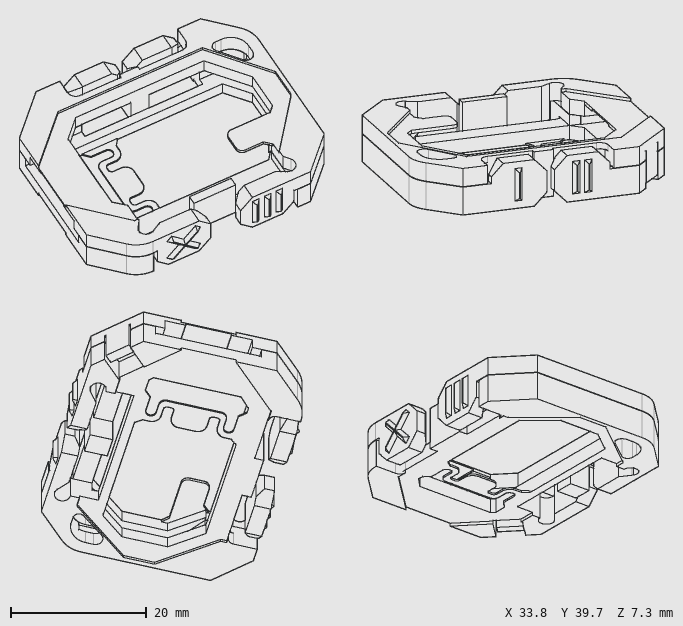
import cadquery as cq
import math

HEIGHT = 7.3
HALF_WIDTH = 16.28
HALF_LENGTH = 19.85
LOWER_TOP = 4.35
UPPER_BOTTOM = 4.45
FLOOR_TOP = 2.7
PLATE_BOTTOM = 6.3
RECESS_DEPTH = 0.48
MIRROR_Y = 0.4

CUT_FRONT_LEFT = 6.3
CUT_FRONT_RIGHT = 5.85
CUT_BACK_RIGHT = 5.15
CUT_BACK_LEFT = 5.65
ROUND_FRONT_RIGHT = 5.15
ROUND_BACK_LEFT = 4.75

OPENING_LEFT = -9.55
OPENING_FRONT = -13.45
OPENING_FRONT_HALF = 6.65
OPENING_BACK = 15.88
OPENING_BACK_HALF = 3.5
BACK_SLOPE = 0.8
LINTEL_NOTCH_TOP = 6.6
RECESS_FRONT_HALF = 4.13
RECESS_LEFT = -11.47
RECESS_BACK = 19.15
RECESS_BACK_HALF = 2.4

LEFT_BAR_OUTER = -8.6
LEFT_BAR_INNER = -7.23
BAR_LEFT = 8.3
BAR_RIGHT = 11.6
NOTCH_HALF = 8.1
POCKET_BACK = 18.25
POCKET_CORNER_X = 4.13
STOP_FRONT = -3.15
STOP_BACK = 3.9
STOP_RIGHT = 13.0
STOP_TOP = 7.2

LEFT_SLOT_BACK = 10.32
LEFT_SLOT_FRONT = 2 * MIRROR_Y - LEFT_SLOT_BACK
LEFT_SLOT_WALL = -12.5
LEFT_SLOT_ROUND = 1.35
RIGHT_SLOT_BACK = 12.5
RIGHT_SLOT_FRONT = 2 * MIRROR_Y - RIGHT_SLOT_BACK
RIGHT_SLOT_ROUND = 1.05
BEYOND_SIDE = HALF_WIDTH + 0.4
SPACER_LEFT = -13.05
SPACER_FRONT = -1.27
SPACER_BACK = 1.83

TAB_INNER = 13.75
TAB_CHAMFER = 2.0
TAB_TIP_CHAMFER = 1.05
TAB_SLANT = 1.85
LEFT_TAB_TIP = 1.0
LEFT_TAB_SHOULDER = 9.73
RIGHT_TAB_TIP = 2.9
RIGHT_TAB_SHOULDER = 11.9
RELIEF_RADIUS = 1.2
LEFT_RELIEF = (-14.1, 10.35)
RIGHT_RELIEF = (13.58, 12.35)
THROAT_LENGTH = 2.4

LATCH_LEFT = -14.5
LATCH_RIGHT = -11.7
LATCH_BOTTOM = 0.8
LATCH_TOP = 5.85
LATCH_DEPTH = 1.05
LATCH_SLOT_DEPTH = 3.0
LATCH_GAP = 0.15

RIDGE_LENGTH = 5.1
RIDGE_WIDTH = 1.15
RIDGE_HEIGHT = 0.6
RIDGE_TAPER = 40
RIDGE_Z = 3.75
LEFT_RIDGES_Y = (5.48, -3.6, -5.5)
RIGHT_RIDGES_Y = (9.4, 7.45, 5.45)
CROSS_Y = -6.7
CROSS_LENGTH = 6.83


def prism(corners, z_bottom, z_top):
    """Solid over an XY outline; each corner is (x, y) or (x, y, rounding radius)."""
    points = []
    for index, corner in enumerate(corners):
        here = cq.Vector(corner[0], corner[1])
        radius = corner[2] if len(corner) > 2 else 0
        if radius == 0:
            points.append((here, here, here))
            continue
        before = corners[index - 1]
        after = corners[(index + 1) % len(corners)]
        to_before = (cq.Vector(before[0], before[1]) - here).normalized()
        to_after = (cq.Vector(after[0], after[1]) - here).normalized()
        half_angle = to_before.getAngle(to_after) / 2
        reach = radius / math.tan(half_angle)
        inset = radius / math.sin(half_angle) - radius
        middle = here + (to_before + to_after).normalized() * inset
        points.append((here + to_before * reach, middle, here + to_after * reach))

    first = points[0][0]
    outline = cq.Workplane("XY", origin=(0, 0, z_bottom)).moveTo(first.x, first.y)
    for index, (start, middle, end) in enumerate(points):
        if index > 0:
            outline = outline.lineTo(start.x, start.y)
        if start is not end:
            outline = outline.threePointArc((middle.x, middle.y), (end.x, end.y))
    return outline.close().extrude(z_top - z_bottom)


def block(x_min, x_max, y_min, y_max, z_min, z_max):
    return prism([(x_min, y_min), (x_max, y_min), (x_max, y_max), (x_min, y_max)], z_min, z_max)


def mirrored_pair(shape):
    """The shape and its mirror image about the plane y = MIRROR_Y."""
    return shape.union(shape.mirror("XZ", (0, MIRROR_Y, 0)))


def outer_frame(z_bottom, z_top):
    corners = [
        (CUT_FRONT_LEFT - HALF_WIDTH, -HALF_LENGTH),
        (HALF_WIDTH - CUT_FRONT_RIGHT, -HALF_LENGTH),
        (HALF_WIDTH, CUT_FRONT_RIGHT - HALF_LENGTH, ROUND_FRONT_RIGHT),
        (HALF_WIDTH, HALF_LENGTH - CUT_BACK_RIGHT),
        (HALF_WIDTH - CUT_BACK_RIGHT, HALF_LENGTH),
        (CUT_BACK_LEFT - HALF_WIDTH, HALF_LENGTH, ROUND_BACK_LEFT),
        (-HALF_WIDTH, HALF_LENGTH - CUT_BACK_LEFT),
        (-HALF_WIDTH, CUT_FRONT_LEFT - HALF_LENGTH),
    ]
    return prism(corners, z_bottom, z_top)


def face_recess(z_bottom, z_top):
    """Shallow recess around the opening that runs out through the front face."""
    right_end = RECESS_BACK_HALF + (RECESS_BACK - RIGHT_SLOT_BACK) / BACK_SLOPE
    left_end = RECESS_BACK + BACK_SLOPE * (RECESS_LEFT + RECESS_BACK_HALF)
    corners = [
        (-RECESS_FRONT_HALF, -HALF_LENGTH),
        (RECESS_FRONT_HALF, -HALF_LENGTH),
        (BAR_RIGHT, BAR_RIGHT - RECESS_FRONT_HALF - HALF_LENGTH),
        (BAR_RIGHT, RIGHT_SLOT_BACK),
        (right_end, RIGHT_SLOT_BACK),
        (RECESS_BACK_HALF, RECESS_BACK),
        (-RECESS_BACK_HALF, RECESS_BACK),
        (RECESS_LEFT, left_end),
        (RECESS_LEFT, -RECESS_LEFT - RECESS_FRONT_HALF - HALF_LENGTH),
    ]
    return prism(corners, z_bottom, z_top)


def opening(left, z_bottom, z_top):
    """Central opening with a straight left wall at x = left."""
    corners = [
        (-OPENING_FRONT_HALF, OPENING_FRONT),
        (OPENING_FRONT_HALF, OPENING_FRONT),
        (BAR_LEFT, RIGHT_SLOT_FRONT),
        (BAR_LEFT, OPENING_BACK - BACK_SLOPE * (BAR_LEFT - OPENING_BACK_HALF)),
        (OPENING_BACK_HALF, OPENING_BACK),
        (-OPENING_BACK_HALF, OPENING_BACK),
        (left, OPENING_BACK + BACK_SLOPE * (left + OPENING_BACK_HALF)),
        (left, OPENING_FRONT - left - OPENING_FRONT_HALF),
    ]
    return prism(corners, z_bottom, z_top)


def left_slot(x_max, end_round, z_bottom, z_top):
    """Slot behind the left tabs, open to the left side face."""
    corners = [
        (-BEYOND_SIDE, LEFT_SLOT_FRONT),
        (x_max, LEFT_SLOT_FRONT, end_round),
        (x_max, LEFT_SLOT_BACK, end_round),
        (-BEYOND_SIDE, LEFT_SLOT_BACK),
    ]
    return prism(corners, z_bottom, z_top)


def right_slot(x_min, end_round, z_bottom, z_top):
    """Slot behind the right tabs, open to the right side face."""
    corners = [
        (x_min, RIGHT_SLOT_FRONT, end_round),
        (BEYOND_SIDE, RIGHT_SLOT_FRONT),
        (BEYOND_SIDE, RIGHT_SLOT_BACK),
        (x_min, RIGHT_SLOT_BACK, end_round),
    ]
    return prism(corners, z_bottom, z_top)


def corner_hole():
    """Three-sided rounded hole through the back left corner."""
    back = 18.0
    front = 12.23
    slope = 0.78
    corners = [
        (RECESS_LEFT, front, 0.87),
        (RECESS_LEFT + (back - front) / slope, back, 1.09),
        (RECESS_LEFT, back, 2.98),
    ]
    return prism(corners, 0, HEIGHT)


def right_tab(tip, shoulder, root, root_bottom):
    """Tab of the back right: the root is at the top and the slanted shoulder at the bottom."""
    profile = [
        (tip, TAB_CHAMFER),
        (tip + TAB_CHAMFER, 0),
        (shoulder - TAB_SLANT, 0),
        (shoulder, TAB_SLANT),
        (shoulder, root_bottom),
        (root, root_bottom),
        (root, HEIGHT),
        (tip + TAB_CHAMFER, HEIGHT),
        (tip, HEIGHT - TAB_CHAMFER),
    ]
    side = cq.Workplane("YZ", origin=(TAB_INNER, 0, 0)).polyline(profile).close()
    tip_corner = [
        (TAB_INNER, tip),
        (TAB_INNER + TAB_TIP_CHAMFER, tip),
        (TAB_INNER, tip + TAB_TIP_CHAMFER),
    ]
    return side.extrude(HALF_WIDTH - TAB_INNER).cut(prism(tip_corner, 0, HEIGHT))


def left_tab():
    """Tab of the back left: shaped like a right tab turned over, so that its root is at the bottom."""
    turned = right_tab(LEFT_TAB_TIP, LEFT_TAB_SHOULDER, LEFT_SLOT_BACK, HEIGHT - LOWER_TOP)
    return turned.mirror("XY", (0, 0, HEIGHT / 2)).mirror("YZ")


def root_relief(center, throat, z_top):
    """Round relief at a tab root, joined to the slot by a throat outline."""
    circle = cq.Workplane("XY").center(*center).circle(RELIEF_RADIUS).extrude(z_top)
    return circle.union(prism(throat, 0, z_top))


def right_root_relief():
    x, y = RIGHT_RELIEF
    throat = [
        (TAB_INNER, RIGHT_SLOT_BACK - THROAT_LENGTH),
        (x + 0.87 * RELIEF_RADIUS, y - RELIEF_RADIUS / 2),
        (x - 0.6 * RELIEF_RADIUS, y + 0.8 * RELIEF_RADIUS),
        (BAR_RIGHT + 0.2, RIGHT_SLOT_BACK),
    ]
    return root_relief(RIGHT_RELIEF, throat, HEIGHT)


def left_root_relief():
    x, y = LEFT_RELIEF
    throat = [
        (-TAB_INNER, LEFT_SLOT_BACK - THROAT_LENGTH),
        (-TAB_INNER, y),
        (x - 0.87 * RELIEF_RADIUS, y - RELIEF_RADIUS / 2),
    ]
    return root_relief(LEFT_RELIEF, throat, HEIGHT)


def latch(clearance, depth, z_bottom, z_top):
    """Block set square into the front left corner cut, widened by a clearance at both sides."""
    left = LATCH_LEFT - clearance
    right = LATCH_RIGHT + clearance
    x_plus_y = CUT_FRONT_LEFT - HALF_WIDTH - HALF_LENGTH
    corners = [
        (left, x_plus_y - left),
        (right, x_plus_y - right),
        (right + depth, x_plus_y - right + depth),
        (left + depth, x_plus_y - left + depth),
    ]
    return prism(corners, z_bottom, z_top)


def ridge(side, y, length=RIDGE_LENGTH, angle=0):
    """Hipped ridge on a side face; side is -1 for the left face and 1 for the right face."""
    shape = cq.Workplane("YZ").rect(RIDGE_WIDTH, length).extrude(RIDGE_HEIGHT, taper=RIDGE_TAPER)
    shape = shape.rotate((0, 0, 0), (1, 0, 0), angle)
    if side < 0:
        shape = shape.mirror("YZ")
    return shape.translate((side * HALF_WIDTH, y, RIDGE_Z))


def spring():
    """Flat meander spring that joins the two bars across the opening."""
    center_x = (LEFT_BAR_INNER + BAR_LEFT) / 2
    bar = BAR_LEFT - center_x
    foot = bar - 1.05
    arm_outer = 5.15
    arm_inner = 4.3
    pad = 2.75
    back = -5.6
    front = -9.85
    top_groove = -8.8
    foot_groove = -6.6
    foot_rise = 0.8
    right_back = [
        (bar, back + foot_rise),
        (foot, back),
        (arm_inner, back, 1.43),
        (arm_inner, top_groove, 0.5),
        (pad, top_groove, 0.5),
        (pad, back, 1.43),
    ]
    right_front = [
        (arm_outer, front, 1.0),
        (arm_outer, foot_groove, 0.775),
        (foot, foot_groove, 0.775),
        (foot, front),
        (bar, front - 1.0),
    ]
    left_back = [(-x, *rest) for x, *rest in reversed(right_back)]
    left_front = [(-x, *rest) for x, *rest in reversed(right_front)]
    loop = right_back + left_back + left_front + right_front
    thickness = 0.28
    flat = prism(loop, RECESS_DEPTH, RECESS_DEPTH + thickness)
    return flat.translate((center_x, 0, 0))


def floor_pocket():
    """Pocket above the floor, inside the rim, from the front wall to the right-hand slot."""
    corners = [
        (OPENING_LEFT, OPENING_FRONT),
        (BAR_LEFT, OPENING_FRONT),
        (BAR_LEFT, RIGHT_SLOT_FRONT),
        (BAR_RIGHT + RIGHT_SLOT_ROUND, RIGHT_SLOT_FRONT),
        (BAR_RIGHT + RIGHT_SLOT_ROUND, RIGHT_SLOT_BACK),
        (BAR_LEFT, RIGHT_SLOT_BACK),
        (POCKET_CORNER_X, POCKET_BACK),
        (OPENING_LEFT, POCKET_BACK),
    ]
    return prism(corners, FLOOR_TOP, LOWER_TOP)


def make_lower_body():
    body = outer_frame(0, LOWER_TOP)
    body = body.cut(face_recess(0, RECESS_DEPTH))
    body = body.cut(floor_pocket())
    body = body.cut(block(-NOTCH_HALF, NOTCH_HALF, -HALF_LENGTH, OPENING_FRONT, FLOOR_TOP, LOWER_TOP))
    body = body.cut(opening(LEFT_BAR_INNER, 0, LOWER_TOP))
    body = body.cut(left_slot(LEFT_BAR_OUTER, 0, 0, LOWER_TOP))
    body = body.cut(right_slot(BAR_RIGHT, RIGHT_SLOT_ROUND, 0, LOWER_TOP))
    body = body.cut(corner_hole())
    body = body.cut(latch(LATCH_GAP, LATCH_SLOT_DEPTH, 0, LOWER_TOP))

    body = body.union(mirrored_pair(left_tab())).cut(mirrored_pair(left_root_relief()))
    body = body.union(block(BAR_RIGHT, STOP_RIGHT, STOP_FRONT, STOP_BACK, RECESS_DEPTH, STOP_TOP))
    body = body.union(spring())
    for y in LEFT_RIDGES_Y:
        body = body.union(ridge(-1, y))
    return body


def make_rim():
    rim = outer_frame(UPPER_BOTTOM, PLATE_BOTTOM)
    rim = rim.cut(opening(OPENING_LEFT, UPPER_BOTTOM, PLATE_BOTTOM))
    window = block(
        -OPENING_FRONT_HALF, OPENING_FRONT_HALF, -HALF_LENGTH, OPENING_FRONT, UPPER_BOTTOM, PLATE_BOTTOM
    )
    return rim.cut(window).cut(left_slot(LEFT_SLOT_WALL, 0, UPPER_BOTTOM, PLATE_BOTTOM))


def make_plate():
    plate = outer_frame(PLATE_BOTTOM, HEIGHT)
    plate = plate.cut(opening(OPENING_LEFT, PLATE_BOTTOM, HEIGHT))
    plate = plate.cut(left_slot(LEFT_SLOT_WALL, LEFT_SLOT_ROUND, PLATE_BOTTOM, HEIGHT))
    lintel_notch = block(
        -OPENING_BACK_HALF, OPENING_BACK_HALF, -HALF_LENGTH, OPENING_FRONT, PLATE_BOTTOM, LINTEL_NOTCH_TOP
    )
    return plate.cut(lintel_notch)


def tongue():
    """Rounded tongue of the plate that reaches into the opening from the back."""
    left = OPENING_BACK_HALF
    right = 7.8
    front = 7.4
    tip_round = 1.05
    left_chamfer = 0.95
    chamfer_start = 11.47
    overlap = 0.4
    corners = [
        (left - left_chamfer, OPENING_BACK),
        (left, OPENING_BACK - left_chamfer),
        (left, front, tip_round),
        (right, front, tip_round),
        (right, chamfer_start),
        (right + RIGHT_SLOT_BACK - chamfer_start + overlap, RIGHT_SLOT_BACK + overlap),
        (left, OPENING_BACK + overlap),
    ]
    return prism(corners, PLATE_BOTTOM, HEIGHT)


def make_upper_body():
    body = make_rim().union(make_plate())
    body = body.cut(right_slot(BAR_LEFT, 0, UPPER_BOTTOM, HEIGHT))
    body = body.union(tongue())
    body = body.union(block(SPACER_LEFT, OPENING_LEFT, SPACER_FRONT, SPACER_BACK, 0, HEIGHT))
    body = body.cut(face_recess(HEIGHT - RECESS_DEPTH, HEIGHT))

    tab = right_tab(RIGHT_TAB_TIP, RIGHT_TAB_SHOULDER, RIGHT_SLOT_BACK, UPPER_BOTTOM)
    body = body.union(mirrored_pair(tab)).cut(mirrored_pair(right_root_relief()))
    body = body.cut(corner_hole())
    body = body.cut(latch(LATCH_GAP, LATCH_DEPTH, UPPER_BOTTOM, LATCH_TOP))
    body = body.union(latch(0, LATCH_DEPTH, LATCH_BOTTOM, LATCH_TOP))

    for y in RIGHT_RIDGES_Y:
        body = body.union(ridge(1, y))
    for angle in (45, -45):
        body = body.union(ridge(1, CROSS_Y, CROSS_LENGTH, angle))
    return body


lower = make_lower_body()
upper = make_upper_body()
result = cq.Compound.makeCompound([*lower.solids().vals(), *upper.solids().vals()])